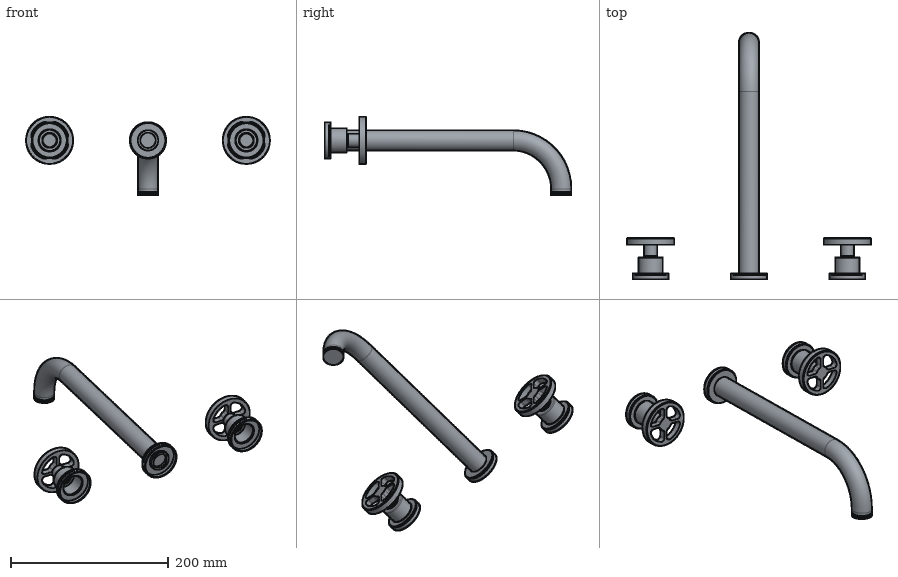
import cadquery as cq
import math

HANDLE_SPACING = 250.0

WHEEL_DIAMETER = 60.2
WHEEL_START = 44.0
WHEEL_END = 53.0
WHEEL_EDGE_CHAMFER = 1.0
WINDOW_DIAMETER = 48.3
HUB_DIAMETER = 17.5
SPOKE_WIDTH = 3.8
WINDOW_FILLET = 4.0
STEM_DIAMETER = 17.2
STEM_START = 29.8

SLEEVE_DIAMETER = 31.0
SLEEVE_BORE_DIAMETER = 26.5
SLEEVE_END = 28.2
SLEEVE_LIP = 2.0
SLEEVE_LIP_DIAMETER = 18.8
SLEEVE_FILLET = 1.0
SPIGOT_DIAMETER = 28.5
BORE_MOUTH_CHAMFER = 0.5

FLANGE_HEIGHT = 8.0
FLANGE_PLATE = 2.8
FLANGE_WALL = 1.3
FLANGE_CHAMFER = 1.0
HANDLE_FLANGE_DIAMETER = 45.8
SPOUT_FLANGE_DIAMETER = 46.5
PLATE_BACK = FLANGE_HEIGHT - FLANGE_PLATE

TUBE_DIAMETER = 26.0
BEND_RADIUS = 61.0
REACH = 313.5
OUTLET_DROP = 70.0
OUTLET_Y = REACH - TUBE_DIAMETER / 2
AERATOR_HEIGHT = 4.7
GROOVE_WIDTH = 1.3
GROOVE_DEPTH = 0.3
GROOVE_RISE = 2.0

RING_DIAMETER = 25.7
RING_BORE_DIAMETER = 19.5
RING_LENGTH = 3.8


def cylinder(diameter, start, end):
    """Cylinder on the Y axis from y = start to y = end."""
    return cq.Workplane("XZ", origin=(0, start, 0)).circle(diameter / 2).extrude(start - end)


def make_window():
    """Filleted opening through the wheel in the quadrant between two spokes."""
    thickness = WHEEL_END - WHEEL_START
    annulus = cylinder(WINDOW_DIAMETER, WHEEL_START, WHEEL_END).cut(
        cylinder(HUB_DIAMETER, WHEEL_START, WHEEL_END)
    )
    quadrant = cq.Workplane("XY").box(
        WINDOW_DIAMETER, thickness, WINDOW_DIAMETER, centered=False
    ).translate((SPOKE_WIDTH / 2, WHEEL_START, SPOKE_WIDTH / 2))
    return annulus.intersect(quadrant).edges("|Y").fillet(WINDOW_FILLET)


def make_handwheel():
    """Four-spoke wheel and its stem."""
    wheel = cylinder(WHEEL_DIAMETER, WHEEL_START, WHEEL_END)
    wheel = wheel.faces(">Y").edges().chamfer(WHEEL_EDGE_CHAMFER)
    window = make_window()
    for angle in (0, 90, 180, 270):
        wheel = wheel.cut(window.rotate((0, 0, 0), (0, 1, 0), angle))
    return wheel.union(cylinder(STEM_DIAMETER, STEM_START, WHEEL_START))


def make_sleeve():
    """Bored sleeve with a spigot in the flange plate and a lip around the stem opening."""
    sleeve = cylinder(SLEEVE_DIAMETER, FLANGE_HEIGHT, SLEEVE_END)
    sleeve = sleeve.faces(">Y").edges().fillet(SLEEVE_FILLET)
    sleeve = sleeve.union(cylinder(SPIGOT_DIAMETER, PLATE_BACK, FLANGE_HEIGHT))
    sleeve = sleeve.cut(cylinder(SLEEVE_BORE_DIAMETER, PLATE_BACK, SLEEVE_END - SLEEVE_LIP))
    sleeve = sleeve.cut(cylinder(SLEEVE_LIP_DIAMETER, PLATE_BACK, SLEEVE_END))
    bore_mouth = cq.selectors.RadiusNthSelector(0)
    return sleeve.faces("<Y").edges(bore_mouth).chamfer(BORE_MOUTH_CHAMFER)


def make_flange(diameter, hole_diameter):
    """Thin cup, open toward the wall, with a central hole through its plate."""
    flange = cylinder(diameter, 0, FLANGE_HEIGHT)
    flange = flange.faces(">Y").edges().chamfer(FLANGE_CHAMFER)
    flange = flange.cut(cylinder(diameter - 2 * FLANGE_WALL, 0, PLATE_BACK))
    return flange.cut(cylinder(hole_diameter, 0, FLANGE_HEIGHT))


def make_spout_tube():
    """Straight run, quarter bend and short drop down to the aerator."""
    bend_start = OUTLET_Y - BEND_RADIUS
    diagonal = BEND_RADIUS * math.sqrt(0.5)
    path = (
        cq.Workplane("YZ")
        .moveTo(PLATE_BACK, 0)
        .lineTo(bend_start, 0)
        .threePointArc((bend_start + diagonal, diagonal - BEND_RADIUS), (OUTLET_Y, -BEND_RADIUS))
        .lineTo(OUTLET_Y, AERATOR_HEIGHT - OUTLET_DROP)
    )
    return cq.Workplane("XZ", origin=(0, PLATE_BACK, 0)).circle(TUBE_DIAMETER / 2).sweep(path)


def make_aerator():
    """Disc closing the end of the spout, with a shallow groove around it."""
    outlet = cq.Workplane("XY", origin=(0, OUTLET_Y, -OUTLET_DROP))
    aerator = outlet.circle(TUBE_DIAMETER / 2).extrude(AERATOR_HEIGHT)
    groove = (
        outlet.workplane(offset=GROOVE_RISE)
        .circle(TUBE_DIAMETER / 2)
        .circle(TUBE_DIAMETER / 2 - GROOVE_DEPTH)
        .extrude(GROOVE_WIDTH)
    )
    return aerator.cut(groove)


def make_connector_ring():
    """Ring on the wall end of the spout tube, inside the flange cup."""
    start = PLATE_BACK - RING_LENGTH
    return cylinder(RING_DIAMETER, start, PLATE_BACK).cut(
        cylinder(RING_BORE_DIAMETER, start, PLATE_BACK)
    )


spout_tube = make_spout_tube()
spout_flange = make_flange(SPOUT_FLANGE_DIAMETER, TUBE_DIAMETER)
connector_ring = make_connector_ring()
aerator = make_aerator()
bodies = [spout_tube.val(), spout_flange.val(), connector_ring.val(), aerator.val()]

for x in (-HANDLE_SPACING / 2, HANDLE_SPACING / 2):
    handwheel = make_handwheel().translate((x, 0, 0))
    sleeve = make_sleeve().translate((x, 0, 0))
    handle_flange = make_flange(HANDLE_FLANGE_DIAMETER, SPIGOT_DIAMETER).translate((x, 0, 0))
    bodies += [handwheel.val(), sleeve.val(), handle_flange.val()]

result = cq.Compound.makeCompound(bodies)